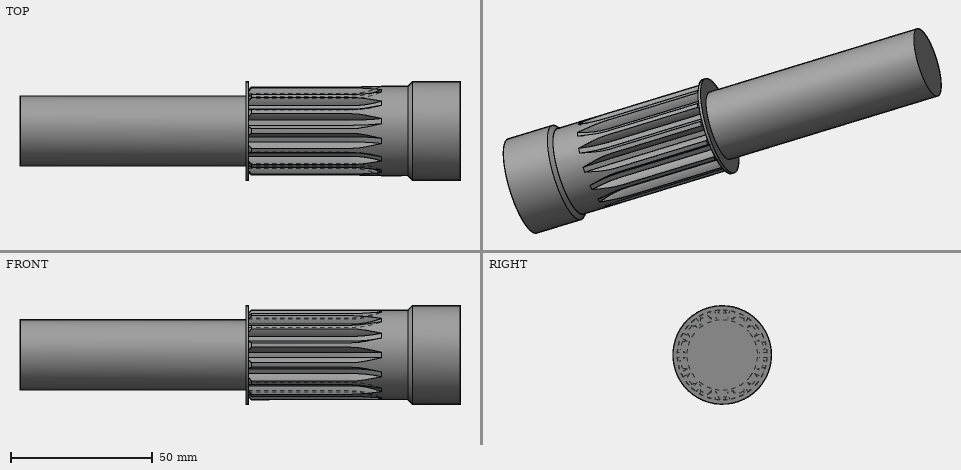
import math

import cadquery as cq

TOTAL_LENGTH = 156.0
FLANGE_START = 80.0
FLANGE_THICKNESS = 1.0
SPLINE_START = FLANGE_START + FLANGE_THICKNESS
RUNOUT_START = 117.1
COLLAR_LENGTH = 18.5
COLLAR_CHAMFER = 1.5
COLLAR_START = TOTAL_LENGTH - COLLAR_LENGTH

SHAFT_RADIUS = 25.0 / 2
SPLINE_RADIUS = 31.75 / 2
COLLAR_RADIUS = 35.0 / 2
FLANGE_RADIUS = COLLAR_RADIUS

TOOTH_COUNT = 14
PRESSURE_ANGLE = math.radians(30)
PITCH_RADIUS = 29.0 / 2
ROOT_RADIUS = 26.5 / 2
TOOTH_CHAMFER = 1.0
RUNOUT_LENGTH = 11.0
CUTTER_CLEARANCE = 1.0
RUNOUT_OVERRUN = 1.2


def turned_body():
    """Shaft, flange, spline blank and a collar chamfered towards the spline."""
    profile = [
        (0, 0),
        (0, SHAFT_RADIUS),
        (FLANGE_START, SHAFT_RADIUS),
        (FLANGE_START, FLANGE_RADIUS),
        (SPLINE_START, FLANGE_RADIUS),
        (SPLINE_START, SPLINE_RADIUS - TOOTH_CHAMFER),
        (SPLINE_START + TOOTH_CHAMFER, SPLINE_RADIUS),
        (COLLAR_START, SPLINE_RADIUS),
        (COLLAR_START, COLLAR_RADIUS - COLLAR_CHAMFER),
        (COLLAR_START + COLLAR_CHAMFER, COLLAR_RADIUS),
        (TOTAL_LENGTH, COLLAR_RADIUS),
        (TOTAL_LENGTH, 0),
    ]
    return cq.Workplane("XY").polyline(profile).close().revolve(360, (0, 0, 0), (1, 0, 0))


def involute(angle):
    """Involute function of a pressure angle in radians."""
    return math.tan(angle) - angle


def flank_point(radius):
    """Half width and height of a groove, centred on +Z, at the given radius."""
    base_radius = PITCH_RADIUS * math.cos(PRESSURE_ANGLE)
    local_angle = math.acos(base_radius / radius)
    half_space_at_pitch = math.pi / (2 * TOOTH_COUNT)
    half_space = half_space_at_pitch - involute(PRESSURE_ANGLE) + involute(local_angle)
    return radius * math.sin(half_space), radius * math.cos(half_space)


def groove_section(plane_x):
    """Groove cross-section at the given X: arc floor, convex flanks, open top."""
    root_y, root_z = flank_point(ROOT_RADIUS)
    mid_y, mid_z = flank_point((ROOT_RADIUS + SPLINE_RADIUS) / 2)
    rim_y, rim_z = flank_point(SPLINE_RADIUS)
    top_z = SPLINE_RADIUS + CUTTER_CLEARANCE
    return (
        cq.Workplane("YZ", origin=(plane_x, 0, 0))
        .moveTo(-root_y, root_z)
        .threePointArc((0, ROOT_RADIUS), (root_y, root_z))
        .threePointArc((mid_y, mid_z), (rim_y, rim_z))
        .lineTo(rim_y, top_z)
        .lineTo(-rim_y, top_z)
        .lineTo(-rim_y, rim_z)
        .threePointArc((-mid_y, mid_z), (-root_y, root_z))
        .close()
    )


def groove_cutter():
    """Straight groove followed by the circular runout left by a disc cutter."""
    depth = SPLINE_RADIUS - ROOT_RADIUS
    disc_radius = (RUNOUT_LENGTH**2 + depth**2) / (2 * depth)
    disc_height = ROOT_RADIUS + disc_radius
    sweep_angle = RUNOUT_OVERRUN * math.degrees(math.asin(RUNOUT_LENGTH / disc_radius))
    straight = groove_section(SPLINE_START).extrude(RUNOUT_START - SPLINE_START)
    runout = groove_section(RUNOUT_START).revolve(sweep_angle, (0, disc_height, 0), (-1, disc_height, 0))
    return straight.union(runout)


def cut_spline(body):
    """Cut equally spaced grooves, the first one centred on -Y."""
    cutter = groove_cutter().rotate((0, 0, 0), (1, 0, 0), 90)
    spacing_angle = 360 / TOOTH_COUNT
    for index in range(TOOTH_COUNT):
        body = body.cut(cutter.rotate((0, 0, 0), (1, 0, 0), index * spacing_angle))
    return body


result = cut_spline(turned_body())